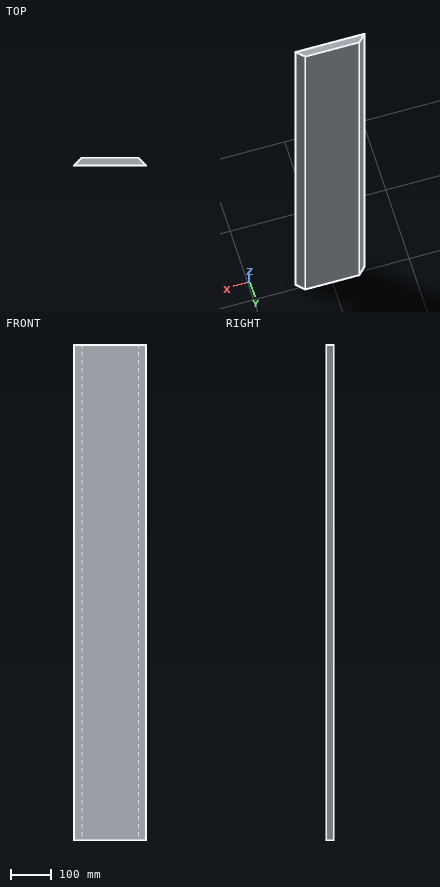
import cadquery as cq

length = 1219.0
width = 178.0
thickness = 20.0
bevel = thickness

half_wide = width / 2
half_narrow = half_wide - bevel
half_thickness = thickness / 2
section = [
    (-half_wide, -half_thickness),
    (half_wide, -half_thickness),
    (half_narrow, half_thickness),
    (-half_narrow, half_thickness),
]

result = cq.Workplane("XY").polyline(section).close().extrude(length / 2, both=True)